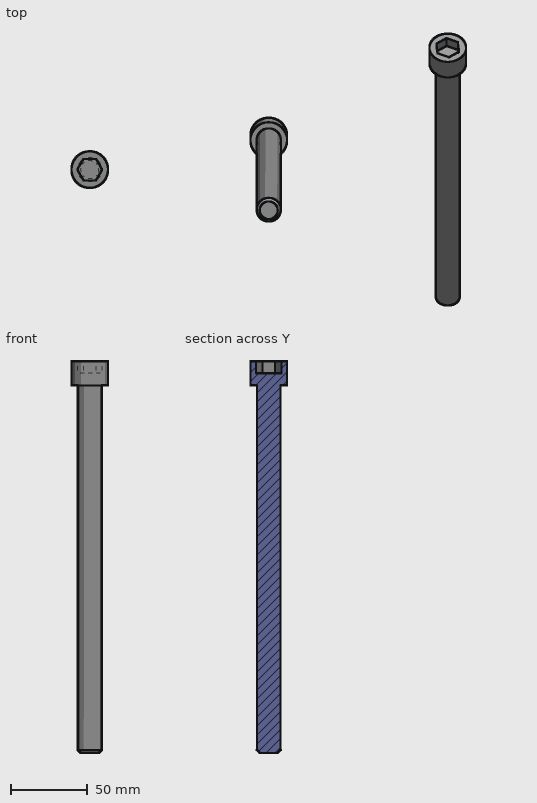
import cadquery as cq
import math

total_length = 256.0
head_diameter = 24.0
shank_diameter = 16.0
head_height = shank_diameter
shank_length = total_length - head_height

socket_across_flats = 14.0
socket_depth = head_height / 2

tip_chamfer = 2.0


def make_shank():
    shank = cq.Workplane("XY").circle(shank_diameter / 2).extrude(shank_length)
    return shank.faces("<Z").chamfer(tip_chamfer)


def make_head():
    return (
        cq.Workplane("XY")
        .workplane(offset=shank_length)
        .circle(head_diameter / 2)
        .extrude(head_height)
    )


def make_socket():
    across_corners = socket_across_flats / math.cos(math.pi / 6)
    return (
        cq.Workplane("XY")
        .workplane(offset=total_length - socket_depth)
        .polygon(6, across_corners)
        .extrude(socket_depth)
    )


result = make_shank().union(make_head()).cut(make_socket())